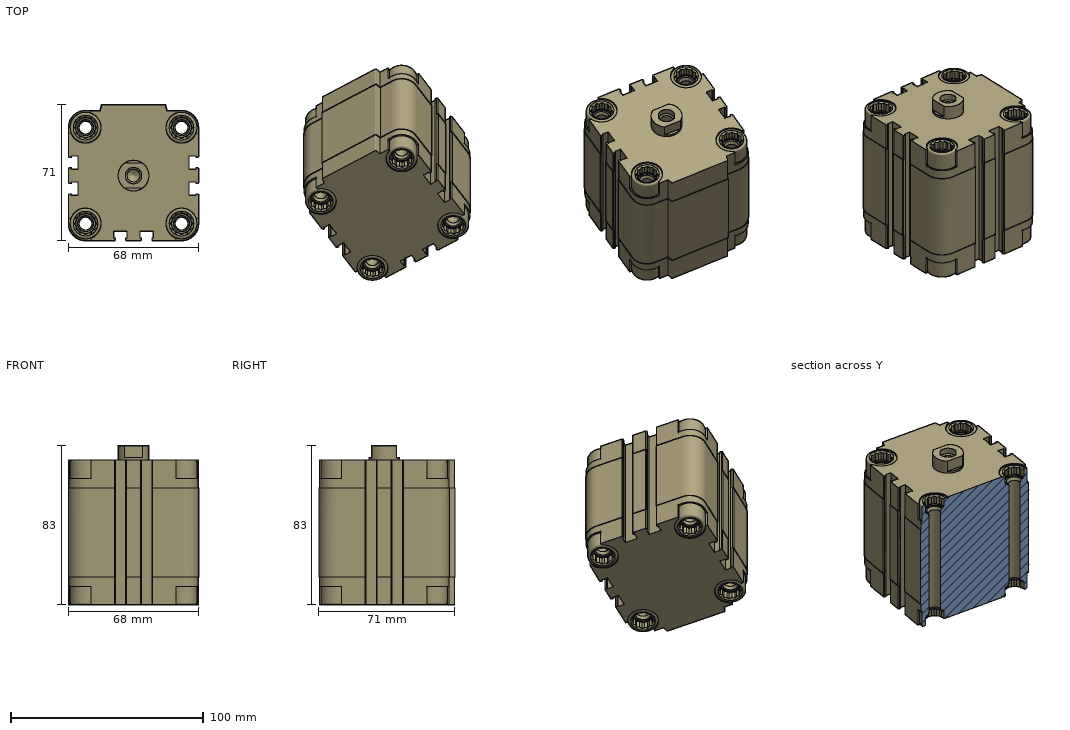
import cadquery as cq
import math

total_height = 83.0
rod_protrusion = 7.5
housing_height = total_height - rod_protrusion
cap_height = 14.5
barrel_height = housing_height - 2 * cap_height

barrel_width = 68.0
barrel_half_width = barrel_width / 2
cap_inset = 0.25
bolt_offset = 25.0
boss_reach = 3.0
boss_half_width_outer = 16.8
boss_half_width_inner = 17.5
boss_edge_radius = 0.4

slot_offset = 6.8
slot_mouth_width = 5.4
slot_inner_width = 6.8
slot_depth = 5.0
slot_lip = 1.6
slot_edge_chamfer = 0.46

pocket_corner = 22.25
pocket_depth = 9.6
head_diameter = 16.0
head_clearance = 0.1
head_edge_radius = 1.0
countersink_radius = 6.4
socket_tip_radius = 5.7
socket_point_count = 12
hexagon_half_angle = math.pi / 6
point_half_angle = math.pi / socket_point_count
socket_inner_radius = socket_tip_radius * math.cos(hexagon_half_angle) / math.cos(point_half_angle)
countersink_depth = 0.75
socket_depth = 5.0
relief_diameter = 10.2
relief_depth = 5.8
bolt_cone_diameter = 8.4
bolt_cone_height = 1.7
bolt_hole_diameter = 6.6

rod_diameter = 16.0
rod_depth = 20.75
flat_width = 13.0
flat_height = 6.3
rod_entry_diameter = 8.55
rod_entry_depth = 3.3
rod_hole_diameter = 6.6
rod_hole_depth = 16.6
drill_half_angle = 60.0


def cone_height(large_diameter, small_diameter):
    """Height of a drill-point cone between two diameters."""
    return (large_diameter - small_diameter) / 2 / math.tan(math.radians(drill_half_angle))


def make_slot(half_width, height):
    """T-slot in the front side (-Y), centred on X = 0, with chamfered mouth edges."""
    half_mouth = slot_mouth_width / 2
    half_inner = slot_inner_width / 2
    face = -half_width
    lip = -barrel_half_width + slot_lip
    floor = -barrel_half_width + slot_depth
    right_side = [
        (half_mouth + slot_edge_chamfer, face),
        (half_mouth, face + slot_edge_chamfer),
        (half_mouth, lip),
        (half_inner, lip),
        (half_inner, floor),
    ]
    left_side = [(-x, y) for x, y in reversed(right_side)]
    return cq.Workplane("XY").polyline(right_side + left_side).close().extrude(height)


def make_section(inset, height):
    """Stretch of the housing: rounded square, rear boss and six sensor slots."""
    half_width = barrel_half_width - inset
    section = (
        cq.Workplane("XY")
        .rect(2 * half_width, 2 * half_width)
        .extrude(height)
        .edges("|Z")
        .fillet(half_width - bolt_offset)
    )
    inner = boss_half_width_inner - inset
    outer = boss_half_width_outer - inset
    boss = (
        cq.Workplane("XY")
        .polyline(
            [
                (-inner, 0),
                (inner, 0),
                (inner, half_width),
                (outer, half_width + boss_reach),
                (-outer, half_width + boss_reach),
                (-inner, half_width),
            ]
        )
        .close()
        .extrude(height)
        .edges("|Z and >Y")
        .fillet(boss_edge_radius)
    )
    section = section.union(boss)
    slot = make_slot(half_width, height)
    for side_angle in (-90, 0, 90):
        for offset in (-slot_offset, slot_offset):
            placed = slot.translate((offset, 0, 0)).rotate((0, 0, 0), (0, 0, 1), side_angle)
            section = section.cut(placed)
    return section


def make_head():
    """Bolt head standing on Z = 0, with a rounded rim; its socket is cut later."""
    return (
        cq.Workplane("XY")
        .circle(head_diameter / 2)
        .extrude(pocket_depth)
        .faces(">Z")
        .edges()
        .fillet(head_edge_radius)
    )


def make_pocket():
    """Square pocket for the corner at +X, +Y, and a round seat about the bolt axis."""
    seat = cq.Workplane("XY").circle(head_diameter / 2 + head_clearance).extrude(pocket_depth)
    inner = pocket_corner - bolt_offset
    reach = barrel_half_width - pocket_corner
    corner = cq.Workplane("XY").box(reach, reach, pocket_depth, centered=False).translate((inner, inner, 0))
    return seat.union(corner)


def make_socket():
    """Double-hexagon socket from Z = 0 down: countersink, relief, cone and hole through the cap."""
    points = []
    for i in range(2 * socket_point_count):
        radius = socket_tip_radius if i % 2 == 0 else socket_inner_radius
        angle = i * point_half_angle
        points.append((radius * math.cos(angle), radius * math.sin(angle)))
    star = cq.Workplane("XY").polyline(points).close().extrude(-socket_depth)
    bore_radius = relief_diameter / 2
    turned = (
        cq.Workplane("XZ")
        .polyline(
            [
                (0, 0),
                (countersink_radius, 0),
                (bore_radius, -countersink_depth),
                (bore_radius, -relief_depth),
                (bolt_cone_diameter / 2, -relief_depth),
                (bolt_hole_diameter / 2, -relief_depth - bolt_cone_height),
                (bolt_hole_diameter / 2, -cap_height),
                (0, -cap_height),
            ]
        )
        .close()
        .revolve(360, (0, 0, 0), (0, 1, 0))
    )
    return star.union(turned)


def place_at_corner(shape, quarter, height):
    """Move a shape from the origin to one of the four bolt axes, turned to face its corner."""
    moved = shape.translate((bolt_offset, bolt_offset, height))
    return moved.rotate((0, 0, 0), (0, 0, 1), 90 * quarter)


def make_cap():
    """End cap from Z = 0 up, with a bolt head standing in a pocket at each corner."""
    cap = make_section(cap_inset, cap_height)
    pocket_floor = cap_height - pocket_depth
    pocket = make_pocket()
    head = make_head()
    socket = make_socket()
    for quarter in range(4):
        cap = cap.cut(place_at_corner(pocket, quarter, pocket_floor))
        cap = cap.union(place_at_corner(head, quarter, pocket_floor))
        cap = cap.cut(place_at_corner(socket, quarter, cap_height))
    return cap


def make_housing():
    """Barrel between two mirrored end caps, with a blind bore for the rod."""
    barrel = make_section(0, barrel_height).translate((0, 0, cap_height))
    barrel = (
        barrel.faces("<Z")
        .workplane(origin=(0, 0, 0))
        .rect(2 * bolt_offset, 2 * bolt_offset, forConstruction=True)
        .vertices()
        .hole(bolt_hole_diameter)
    )
    cap = make_cap()
    top_cap = cap.translate((0, 0, housing_height - cap_height))
    bottom_cap = cap.mirror("XY").translate((0, 0, cap_height))
    rod_bore = (
        cq.Workplane("XY")
        .workplane(offset=housing_height - rod_depth)
        .circle(rod_diameter / 2)
        .extrude(rod_depth)
    )
    return barrel.union(top_cap).union(bottom_cap).cut(rod_bore)


def make_rod():
    """Piston rod from the bottom of its bore to the top of the part."""
    length = rod_depth + rod_protrusion
    rod = cq.Workplane("XY").workplane(offset=total_height - length).circle(rod_diameter / 2).extrude(length)
    for side in (-1, 1):
        centre_y = side * (flat_width + rod_diameter) / 2
        rod = rod.cut(
            cq.Workplane("XY")
            .workplane(offset=total_height - flat_height)
            .center(0, centre_y)
            .rect(rod_diameter, rod_diameter)
            .extrude(flat_height)
        )
    step_bottom = total_height - rod_entry_depth - cone_height(rod_entry_diameter, rod_hole_diameter)
    hole_bottom = total_height - rod_hole_depth
    hole = (
        cq.Workplane("XZ")
        .polyline(
            [
                (0, total_height),
                (rod_entry_diameter / 2, total_height),
                (rod_entry_diameter / 2, total_height - rod_entry_depth),
                (rod_hole_diameter / 2, step_bottom),
                (rod_hole_diameter / 2, hole_bottom),
                (0, hole_bottom - cone_height(rod_hole_diameter, 0)),
            ]
        )
        .close()
        .revolve(360, (0, 0, 0), (0, 1, 0))
    )
    return rod.cut(hole)


housing = make_housing()
rod = make_rod()
result = cq.Compound.makeCompound([housing.val(), rod.val()])